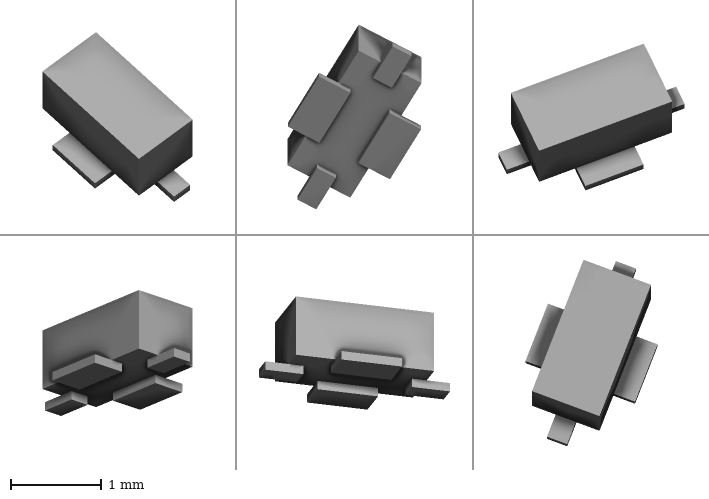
import cadquery as cq

overall_length = 2.14
overall_width = 1.3
overall_height = 0.8

housing_length = 1.6
housing_width = 0.8

lead_thickness = 0.1
end_lead_length = 0.44
end_lead_width = 0.24
side_lead_length = 0.4
side_lead_width = 0.7


def block(size_x, size_y, size_z, center_x, center_y, bottom_z):
    """Plain box centred at (center_x, center_y) and standing on bottom_z."""
    return (
        cq.Workplane("XY")
        .box(size_x, size_y, size_z, centered=(True, True, False))
        .translate((center_x, center_y, bottom_z))
    )


def make_housing():
    housing_height = overall_height - lead_thickness
    return block(housing_length, housing_width, housing_height, 0, 0, lead_thickness)


def make_end_lead(side):
    """Narrow lead reaching out along X; side is -1 or +1."""
    center_x = side * (overall_length - end_lead_length) / 2
    return block(end_lead_length, end_lead_width, lead_thickness, center_x, 0, 0)


def make_side_lead(side):
    """Wide lead reaching out along Y; side is -1 or +1."""
    center_y = side * (overall_width - side_lead_length) / 2
    return block(side_lead_width, side_lead_length, lead_thickness, 0, center_y, 0)


housing = make_housing()
end_leads = [make_end_lead(side) for side in (-1, 1)]
side_leads = [make_side_lead(side) for side in (-1, 1)]

result = cq.Compound.makeCompound(
    [housing.val()]
    + [lead.val() for lead in end_leads]
    + [lead.val() for lead in side_leads]
)